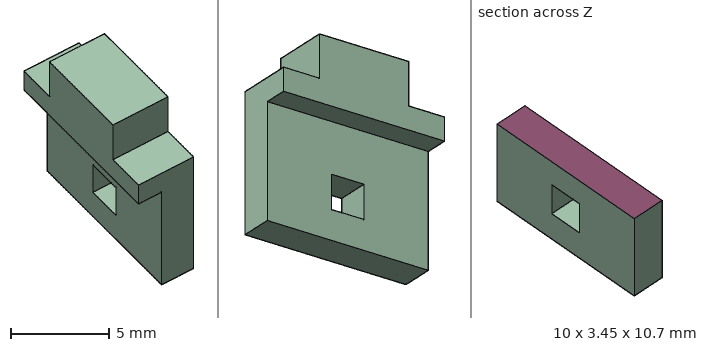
import cadquery as cq

width = 10.0
depth = 3.45
height = 10.65

plate_thickness = 2.0
plate_height = 6.75
ledge_thickness = 1.37
tab_width = 5.54

window_side = 2.0
window_bottom = 1.76

ledge_top = plate_height + ledge_thickness
tab_height = height - ledge_top


def block(size_x, size_y, size_z, bottom):
    """Box centred on X, with its back face on Y = 0 and its body toward -Y."""
    box = cq.Workplane("XY").box(size_x, size_y, size_z, centered=(True, False, False))
    return box.translate((0, -size_y, bottom))


plate = block(width, plate_thickness, plate_height, 0)
ledge = block(width, depth, ledge_thickness, plate_height)
tab = block(tab_width, depth, tab_height, ledge_top)
window = block(window_side, plate_thickness, window_side, window_bottom)

result = plate.union(ledge).union(tab).cut(window).clean()